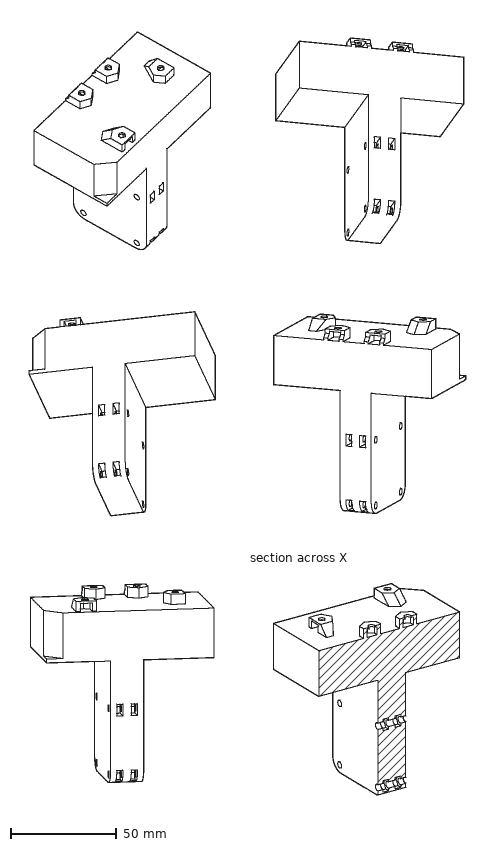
import cadquery as cq
import math

width = 44.0
head_length = 81.0
head_height = 24.0
total_height = 89.0
boss_height = 5.0
head_top = total_height - boss_height
head_bottom = head_top - head_height

corner_cut = 7.9
corner_floor = 2.0

column_thickness = 16.0
column_front = -9.5
column_center_y = column_front + column_thickness / 2
column_corner_radius = 7.0

hole_diameter = 3.2
nut_flats = 5.7
nut_corners = nut_flats * 2 / math.sqrt(3)

column_hole_pitch = 32.0
column_hole_low_z = 4.0
column_nut_thickness = 3.0
column_nut_spacing = 7.0

boss_half_width = 5.0
boss_side_end = boss_half_width / math.sqrt(3)
boss_tip = 2 * boss_side_end
boss_pocket_height = 3.9
short_boss_end = 4.0

edge_boss_end = 6.0
edge_boss_x = -width / 2 + edge_boss_end
edge_boss_ys = (9.9, -10.9)
edge_chamfer = 2.0
edge_step_height = 1.0

side_ramp_boss_center = (3.9, 24.9)
tip_ramp_boss_center = (15.9, -20.9)

tip_ramp_length = boss_height / math.cos(math.radians(30))


def nut_slot(end, thickness):
    """Hexagon around the origin, prolonged to x = -end and rising from z = 0."""
    hexagon = cq.Workplane("XY").polygon(6, nut_corners).extrude(thickness)
    channel = cq.Workplane("XY").box(end, nut_flats, thickness, centered=(False, True, False))
    return hexagon.union(channel.translate((-end, 0, 0)))


def boss_outline(end, tip_shift=0.0, side_shift=0.0):
    """Corners of a boss pointing to +X, with the tip or the -Y side moved outwards."""
    side_y = -boss_half_width - side_shift
    side_x = boss_side_end + tip_shift - side_shift / math.sqrt(3)
    return [
        (-end, side_y),
        (side_x, side_y),
        (boss_tip + tip_shift, 0),
        (boss_side_end + tip_shift, boss_half_width),
        (-end, boss_half_width),
    ]


def screw_boss(end, tip_ramp=0.0, side_ramp=0.0):
    """Boss on z = 0 around its screw hole, with a nut pocket open at x = -end."""
    body = (
        cq.Workplane("XY")
        .polyline(boss_outline(end, tip_ramp, side_ramp))
        .close()
        .workplane(offset=boss_height)
        .polyline(boss_outline(end))
        .close()
        .loft(ruled=True)
    )
    hole = cq.Workplane("XY").circle(hole_diameter / 2).extrude(boss_height)
    return body.cut(hole).cut(nut_slot(end, boss_pocket_height))


def edge_boss():
    """Boss whose open end is chamfered above a low step and upright above the chamfer."""
    relief = (
        cq.Workplane("XZ")
        .moveTo(-edge_boss_end, edge_step_height)
        .line(edge_chamfer, edge_chamfer)
        .lineTo(-edge_boss_end + edge_chamfer, boss_height)
        .lineTo(-edge_boss_end, boss_height)
        .close()
        .extrude(boss_half_width, both=True)
    )
    return screw_boss(edge_boss_end).cut(relief)


def make_head():
    head = cq.Workplane("XY").box(width, head_length, head_height, centered=(True, True, False))
    corner = (
        cq.Workplane("XY")
        .moveTo(width / 2, -head_length / 2)
        .line(-corner_cut, 0)
        .line(corner_cut, corner_cut)
        .close()
        .extrude(head_height - corner_floor)
        .translate((0, 0, corner_floor))
    )
    return head.cut(corner).translate((0, 0, head_bottom))


def make_column():
    column = (
        cq.Workplane("XY")
        .box(width, column_thickness, head_bottom, centered=(True, True, False))
        .edges("|Y and <Z")
        .fillet(column_corner_radius)
        .translate((0, column_center_y, 0))
    )
    hole_x = column_hole_pitch / 2
    slot = (
        nut_slot(width / 2 - hole_x, column_nut_thickness)
        .translate((0, 0, -column_nut_thickness / 2))
        .rotate((0, 0, 0), (1, 0, 0), 90)
    )
    for hole_z in (column_hole_low_z, column_hole_low_z + column_hole_pitch):
        for side, turn in ((-1, 0), (1, 180)):
            hole = cq.Workplane("XZ").circle(hole_diameter / 2).extrude(column_thickness, both=True)
            column = column.cut(hole.translate((side * hole_x, column_center_y, hole_z)))
            turned_slot = slot.rotate((0, 0, 0), (0, 0, 1), turn)
            for nut_side in (-1, 1):
                slot_y = column_center_y + nut_side * column_nut_spacing / 2
                column = column.cut(turned_slot.translate((side * hole_x, slot_y, hole_z)))
    return column


def placed_boss(boss, center, turn):
    """Boss turned about its hole and set on the top of the head."""
    return boss.rotate((0, 0, 0), (0, 0, 1), turn).translate((*center, head_top))


result = make_head().union(make_column())
for boss_y in edge_boss_ys:
    result = result.union(placed_boss(edge_boss(), (edge_boss_x, boss_y), 0))
side_ramp_boss = screw_boss(short_boss_end, side_ramp=boss_height)
result = result.union(placed_boss(side_ramp_boss, side_ramp_boss_center, -90))
tip_ramp_boss = screw_boss(short_boss_end, tip_ramp=tip_ramp_length)
result = result.union(placed_boss(tip_ramp_boss, tip_ramp_boss_center, 180))